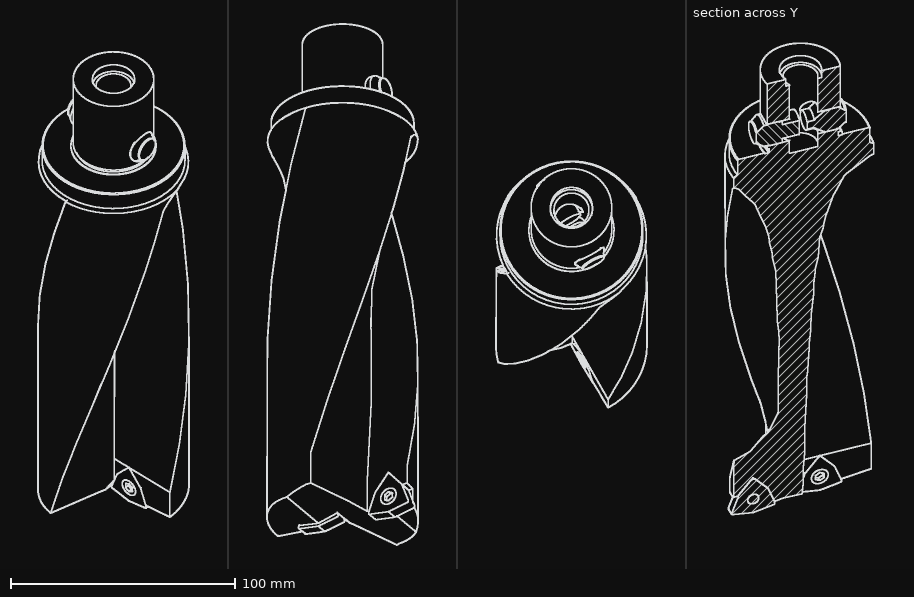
import cadquery as cq
import math


TOTAL_LENGTH = 250.0
BODY_RADIUS = 33.74
BODY_TOP_Z = 200.9
SHOULDER_HEIGHT = 1.3
FLANGE_RADIUS = 31.9
FLANGE_TOP_Z = 209.8
FLANGE_CHAMFER = 0.5
SHANK_RADIUS = 18.0
NECK_RADIUS = 17.0
NECK_TOP_Z = 211.4
NECK_RECESS_RADIUS = 19.0
NECK_RECESS_DEPTH = 0.4

BORE_MOUTH_RADIUS = 9.4
BORE_MOUTH_DEPTH = 4.0
BORE_RADIUS = 7.8
BORE_FLOOR_Z = 206.0

PIN_Z = 219.7
PIN_HEAD_RADIUS = 7.4
PIN_SEAT_DEPTH = 10.0
PIN_TIP_LENGTH = 0.6
LEFT_PIN_INNER_END = 2.0
LEFT_PIN_BODY_RADIUS = 5.8
LEFT_PIN_CONE_START = 19.0
LEFT_PIN_END = 22.8
LEFT_PIN_TIP_RADIUS = 5.2
RIGHT_PIN_INNER_END = 1.6
RIGHT_PIN_NOSE_RADIUS = 4.6
RIGHT_PIN_NOSE_END = 5.0
RIGHT_PIN_CONE_START = 16.8
RIGHT_PIN_END = 20.3
RIGHT_PIN_TIP_RADIUS = 5.4

STRAIGHT_LENGTH = 20.3
TWIST_RATE = 0.515
RUNOUT_RADIUS = 15.0
RUNOUT_START_Z = 184.8
RUNOUT_END_Z = RUNOUT_START_Z + RUNOUT_RADIUS
CUTTER_REACH = 60.0
CENTRE_FACE_ANGLE = 0.0
CENTRE_WALL_ANGLE = -97.0
CENTRE_CORNER = (0.5, 0.0)
OUTER_FACE_ANGLE = 180.0
OUTER_WALL_ANGLE = 75.0
OUTER_CORNER = (-13.0, 0.0)

INSCRIBED_RADIUS = 15.875 / 2
CORNER_HALF_ANGLE = math.radians(40)
CORNER_RADIUS = 0.8
INSERT_THICKNESS = 5.6
CENTRE_INSERT_X = 9.2
OUTER_INSERT_X = -24.02
POCKET_SIDE_Z = 11.8
POCKET_FRONT_CLEARANCE = 12.0
SCREW_HEAD_RADIUS = 4.0
SCREW_SHANK_RADIUS = 2.5
SCREW_HEAD_HEIGHT = 2.5
SCREW_LENGTH = 14.0
SOCKET_WIDTH = 4.0
SOCKET_DEPTH = 1.8

TIP_PROFILE = [
    (-BODY_RADIUS, 3.4),
    (-24.0, 1.5),
    (-10.0, 4.2),
    (-1.5, 4.0),
    (9.2, 1.5),
    (20.0, 3.6),
    (BODY_RADIUS, 5.2),
]

sharp_corner_distance = INSCRIBED_RADIUS / math.sin(CORNER_HALF_ANGLE)
blunt_corner_distance = INSCRIBED_RADIUS / math.sin(2 * CORNER_HALF_ANGLE)
insert_z = blunt_corner_distance


def polar(radius, degrees, centre=(0.0, 0.0)):
    angle = math.radians(degrees)
    return (centre[0] + radius * math.cos(angle), centre[1] + radius * math.sin(angle))


def turned_body():
    recess_z = FLANGE_TOP_Z - NECK_RECESS_DEPTH
    outline = [
        (0, 0),
        (BODY_RADIUS, 0),
        (BODY_RADIUS, BODY_TOP_Z - SHOULDER_HEIGHT),
        (FLANGE_RADIUS, BODY_TOP_Z),
        (FLANGE_RADIUS, FLANGE_TOP_Z - FLANGE_CHAMFER),
        (FLANGE_RADIUS - FLANGE_CHAMFER, FLANGE_TOP_Z),
        (NECK_RECESS_RADIUS, FLANGE_TOP_Z),
        (NECK_RECESS_RADIUS, recess_z),
        (NECK_RADIUS, recess_z),
        (NECK_RADIUS, NECK_TOP_Z),
        (SHANK_RADIUS, NECK_TOP_Z),
        (SHANK_RADIUS, TOTAL_LENGTH),
        (BORE_MOUTH_RADIUS, TOTAL_LENGTH),
        (BORE_MOUTH_RADIUS, TOTAL_LENGTH - BORE_MOUTH_DEPTH),
        (BORE_RADIUS, TOTAL_LENGTH - BORE_MOUTH_DEPTH),
        (BORE_RADIUS, BORE_FLOOR_Z),
        (0, BORE_FLOOR_Z),
    ]
    return cq.Workplane("XZ").polyline(outline).close().revolve(360, (0, 0, 0), (0, 1, 0))


def flute_section(corner, face_angle, wall_angle, base_z):
    """Wedge of a flute across the axis at base_z."""
    points = [
        corner,
        polar(CUTTER_REACH, wall_angle, corner),
        polar(CUTTER_REACH * math.sqrt(2), (wall_angle + face_angle) / 2, corner),
        polar(CUTTER_REACH, face_angle, corner),
    ]
    return cq.Workplane("XY", origin=(0, 0, base_z)).polyline(points).close()


def helical_cutter(corner, face_angle, wall_angle, start_z):
    """Twisted flute up to the end of its runout; the angles are those at the end of the straight part."""
    lead_in = TWIST_RATE * (start_z - STRAIGHT_LENGTH)
    height = RUNOUT_END_Z - start_z
    section = flute_section(corner, face_angle, wall_angle, start_z)
    cutter = section.twistExtrude(height, TWIST_RATE * height)
    return cutter.rotate((0, 0, 0), (0, 0, 1), lead_in)


def runout_block(corner, wall_angle):
    """Metal kept at the end of a flute, where its back wall curves outward and leaves the body."""
    block = (
        cq.Workplane("XZ")
        .moveTo(0, 0)
        .radiusArc((RUNOUT_RADIUS, RUNOUT_RADIUS), RUNOUT_RADIUS)
        .lineTo(-CUTTER_REACH, RUNOUT_RADIUS)
        .lineTo(-CUTTER_REACH, 0)
        .close()
        .extrude(2 * CUTTER_REACH, both=True)
    )
    block = block.rotate((0, 0, 0), (0, 0, 1), wall_angle + 90)
    block = block.translate((corner[0], corner[1], RUNOUT_START_Z))
    twist = TWIST_RATE * (RUNOUT_START_Z - STRAIGHT_LENGTH)
    return block.rotate((0, 0, 0), (0, 0, 1), twist)


def cut_flute(body, corner, face_angle, wall_angle, twist_start_z):
    cutter = helical_cutter(corner, face_angle, wall_angle, twist_start_z)
    body = body.cut(cutter.cut(runout_block(corner, wall_angle)))
    straight_part = flute_section(corner, face_angle, wall_angle, 0.0).extrude(STRAIGHT_LENGTH)
    return body.cut(straight_part)


def tip_cutter():
    left_x = TIP_PROFILE[0][0]
    right_x = TIP_PROFILE[-1][0]
    lowest_z = -1.0
    outline = TIP_PROFILE + [(right_x, lowest_z), (left_x, lowest_z)]
    return cq.Workplane("XZ").polyline(outline).close().extrude(CUTTER_REACH, both=True)


def trigon(thickness):
    corners = []
    for index in range(3):
        corners.append(polar(sharp_corner_distance, 90 + 120 * index))
        corners.append(polar(blunt_corner_distance, 150 + 120 * index))
    return cq.Workplane("XZ").polyline(corners).close().extrude(-thickness)


def screw_blank():
    outline = [
        (0, 0),
        (SCREW_HEAD_RADIUS, 0),
        (SCREW_SHANK_RADIUS, SCREW_HEAD_HEIGHT),
        (SCREW_SHANK_RADIUS, SCREW_LENGTH),
        (0, SCREW_LENGTH),
    ]
    return cq.Workplane("XY").polyline(outline).close().revolve(360, (0, 0, 0), (0, 1, 0))


def make_insert():
    blank = trigon(INSERT_THICKNESS)
    for index in range(3):
        x, z = polar(sharp_corner_distance, 90 + 120 * index)
        nearest = cq.NearestToPointSelector((x, INSERT_THICKNESS / 2, z))
        blank = blank.edges("|Y").edges(nearest).fillet(CORNER_RADIUS)
    return blank.cut(screw_blank())


def make_screw():
    socket = cq.Workplane("XZ").polygon(6, SOCKET_WIDTH, circumscribed=True).extrude(-SOCKET_DEPTH)
    return screw_blank().cut(socket)


def place_centre(shape):
    return shape.translate((CENTRE_INSERT_X, 0, insert_z))


def place_outer(shape):
    return shape.rotate((0, 0, 0), (0, 0, 1), 180).translate((OUTER_INSERT_X, 0, insert_z))


places = [place_centre, place_outer]
inserts = [place(make_insert()) for place in places]
screws = [place(make_screw()) for place in places]


def turned_pin(outline, direction):
    points = [(direction * distance, radius) for distance, radius in outline]
    closed = [(points[0][0], 0)] + points + [(points[-1][0], 0)]
    pin = cq.Workplane("XY").polyline(closed).close().revolve(360, (0, 0, 0), (1, 0, 0))
    return pin.translate((0, 0, PIN_Z))


left_pin = turned_pin(
    [
        (LEFT_PIN_INNER_END, LEFT_PIN_BODY_RADIUS),
        (PIN_SEAT_DEPTH, LEFT_PIN_BODY_RADIUS),
        (PIN_SEAT_DEPTH, PIN_HEAD_RADIUS),
        (LEFT_PIN_CONE_START, PIN_HEAD_RADIUS),
        (LEFT_PIN_END - PIN_TIP_LENGTH, LEFT_PIN_TIP_RADIUS),
        (LEFT_PIN_END, LEFT_PIN_TIP_RADIUS),
    ],
    -1,
)
right_pin = turned_pin(
    [
        (RIGHT_PIN_INNER_END, RIGHT_PIN_NOSE_RADIUS),
        (RIGHT_PIN_NOSE_END, RIGHT_PIN_NOSE_RADIUS),
        (PIN_SEAT_DEPTH, PIN_HEAD_RADIUS),
        (RIGHT_PIN_CONE_START, PIN_HEAD_RADIUS),
        (RIGHT_PIN_END - PIN_TIP_LENGTH, RIGHT_PIN_TIP_RADIUS),
        (RIGHT_PIN_END, RIGHT_PIN_TIP_RADIUS),
    ],
    1,
)


def cut_insert_pockets(body):
    seat = trigon(INSERT_THICKNESS + POCKET_FRONT_CLEARANCE).translate((0, -POCKET_FRONT_CLEARANCE, 0))
    for place in places:
        body = body.cut(place(seat))
        body = body.cut(place(screw_blank()))
    return body


def outer_pocket_side():
    """Opening that frees the outer flank of the outer insert."""
    block = cq.Workplane("XY").box(CUTTER_REACH, INSERT_THICKNESS, POCKET_SIDE_Z, centered=False)
    return block.translate((OUTER_INSERT_X - CUTTER_REACH, -INSERT_THICKNESS, 0))


def pin_bore():
    return cq.Workplane("YZ").center(0, PIN_Z).circle(PIN_HEAD_RADIUS).extrude(CUTTER_REACH, both=True)


def make_body():
    body = turned_body().cut(tip_cutter())
    body = cut_flute(body, CENTRE_CORNER, CENTRE_FACE_ANGLE, CENTRE_WALL_ANGLE, 0.0)
    body = cut_flute(body, OUTER_CORNER, OUTER_FACE_ANGLE, OUTER_WALL_ANGLE, STRAIGHT_LENGTH)
    body = cut_insert_pockets(body)
    return body.cut(outer_pocket_side()).cut(pin_bore())


body = make_body()

result = cq.Compound.makeCompound(
    [
        body.val(),
        *[insert.val() for insert in inserts],
        *[screw.val() for screw in screws],
        left_pin.val(),
        right_pin.val(),
    ]
)